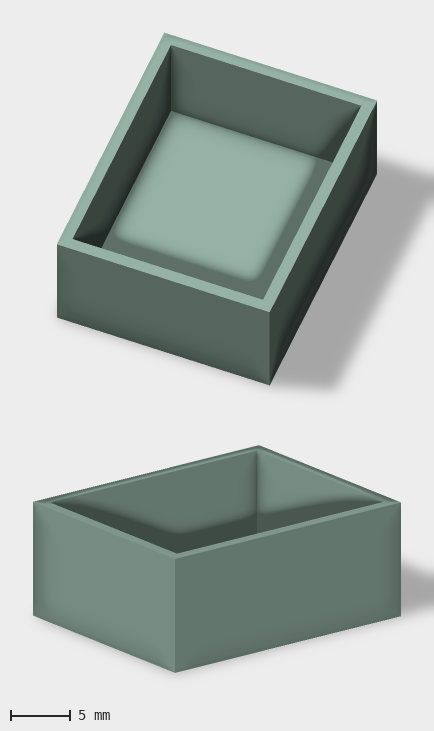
import cadquery as cq

width = 19.13
length = 24.0
height = 10.0
wall = 1.0

block = cq.Workplane("XY").box(width, length, height, centered=(True, True, False))

cavity = (
    cq.Workplane("XY")
    .workplane(offset=wall)
    .rect(width - 2 * wall, length - 2 * wall)
    .extrude(height - wall)
)

result = block.cut(cavity)